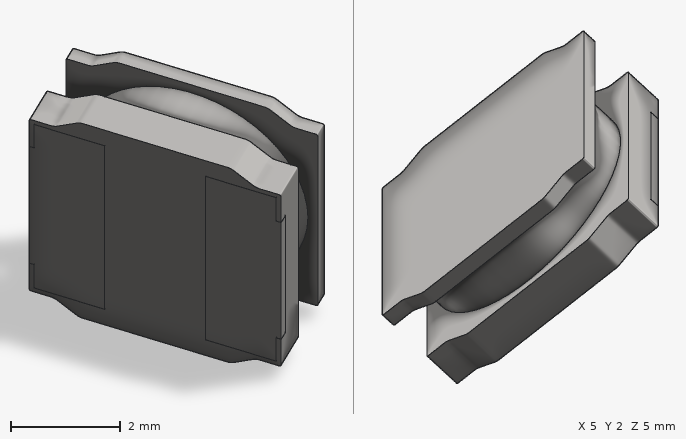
import cadquery as cq

flange_size = 5.0
half_size = flange_size / 2

step_drop = 0.3
step_edge_length = 0.5
slope_run = 0.5
slope_radius = 0.25
corner_radius = 0.05

base_thickness = 0.8
winding_length = 0.9
cover_thickness = 0.3
winding_diameter = 4.6

terminal_thickness = 0.2
pad_inner_x = 1.0
pad_edge_gap = 0.1
pad_outer_x = half_size - pad_edge_gap
pad_height = 2 * (half_size - step_drop - pad_edge_gap)
tab_height = 3.0


def make_flange(start_y, thickness):
    """Flange plate with sloped, rounded steps at its four corners."""
    side_z = half_size - step_drop
    slope_outer_x = half_size - step_edge_length
    slope_inner_x = slope_outer_x - slope_run
    upper_right = [
        (half_size, side_z),
        (slope_outer_x, side_z),
        (slope_inner_x, half_size),
    ]
    upper_left = [(-x, z) for x, z in reversed(upper_right)]
    lower_half = [(-x, -z) for x, z in upper_right + upper_left]
    plate = (
        cq.Workplane("XZ", origin=(0, start_y, 0))
        .polyline(upper_right + upper_left + lower_half)
        .close()
        .extrude(-thickness)
    )
    plate = plate.edges("|Y and (<X or >X)").fillet(corner_radius)
    slope_ends = cq.selectors.BoxSelector(
        (-slope_outer_x - corner_radius, start_y, -flange_size),
        (slope_outer_x + corner_radius, start_y + thickness, flange_size),
    )
    return plate.edges("|Y").edges(slope_ends).fillet(slope_radius)


def make_terminal(side):
    """Pad with a narrower tab that reaches the flange side; side is -1 or 1."""
    pad_width = pad_outer_x - pad_inner_x
    pad_center_x = side * (pad_inner_x + pad_outer_x) / 2
    tab_width = half_size - pad_inner_x
    tab_center_x = side * (pad_inner_x + half_size) / 2
    center_y = terminal_thickness / 2
    pad = cq.Workplane("XY").box(pad_width, terminal_thickness, pad_height)
    tab = cq.Workplane("XY").box(tab_width, terminal_thickness, tab_height)
    pad = pad.translate((pad_center_x, center_y, 0))
    tab = tab.translate((tab_center_x, center_y, 0))
    return pad.union(tab)


def make_winding():
    """Round winding that fills the gap between the two flanges."""
    return (
        cq.Workplane("XZ", origin=(0, base_thickness, 0))
        .circle(winding_diameter / 2)
        .extrude(-winding_length)
    )


terminals = [make_terminal(side) for side in (-1, 1)]

base_flange = make_flange(0, base_thickness)
for terminal in terminals:
    base_flange = base_flange.cut(terminal)

winding = make_winding()
cover_flange = make_flange(base_thickness + winding_length, cover_thickness)

result = cq.Compound.makeCompound(
    [
        base_flange.val(),
        winding.val(),
        cover_flange.val(),
        *[terminal.val() for terminal in terminals],
    ]
)